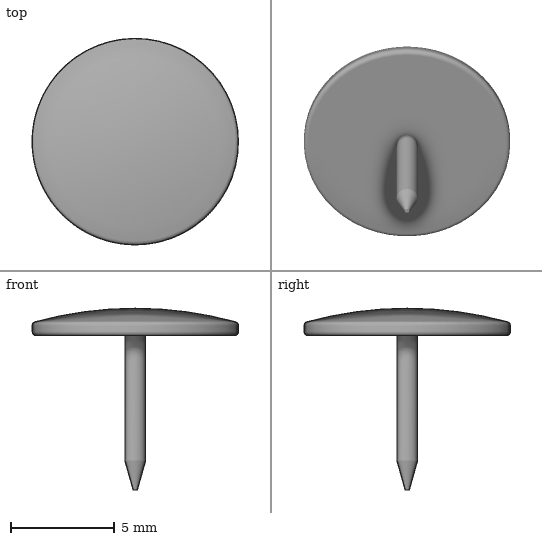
import cadquery as cq

head_diameter = 9.99
total_height = 8.8
head_height = 1.33
rim_height = 0.63
edge_radius = 0.2

pin_diameter = 1.0
tip_diameter = 0.2
tip_length = 1.41

head_radius = head_diameter / 2
dome_height = head_height - rim_height
dome_radius = (head_radius**2 + dome_height**2) / (2 * dome_height)
pin_length = total_height - head_height


def make_head():
    """Round disc with a spherical dome on top and rounded rim edges."""
    dome_centre_z = total_height - dome_radius
    half_chord = head_radius / 2
    mid_arc_z = dome_centre_z + (dome_radius**2 - half_chord**2) ** 0.5
    blank = (
        cq.Workplane("XZ")
        .moveTo(0, pin_length)
        .lineTo(head_radius, pin_length)
        .lineTo(head_radius, pin_length + rim_height)
        .threePointArc((half_chord, mid_arc_z), (0, total_height))
        .close()
        .revolve(360, (0, 0, 0), (0, 1, 0))
    )
    return blank.faces("%CYLINDER").edges("%CIRCLE").fillet(edge_radius)


def make_pin():
    """Cylindrical shank with a conical tip blunted by a small flat."""
    pin_radius = pin_diameter / 2
    return (
        cq.Workplane("XZ")
        .lineTo(tip_diameter / 2, 0)
        .lineTo(pin_radius, tip_length)
        .lineTo(pin_radius, pin_length)
        .lineTo(0, pin_length)
        .close()
        .revolve(360, (0, 0, 0), (0, 1, 0))
    )


head = make_head()
pin = make_pin()

result = cq.Compound.makeCompound([head.val(), pin.val()])